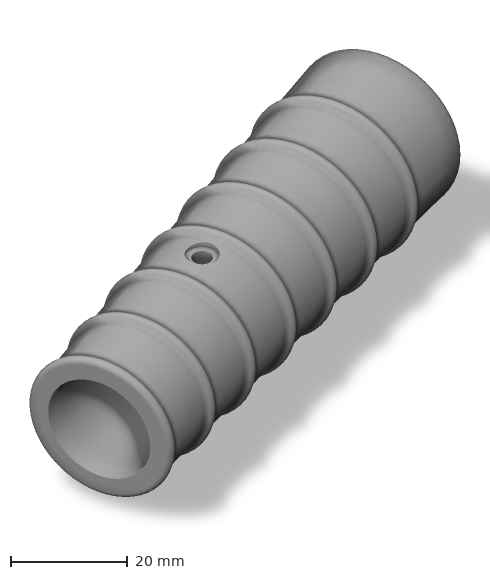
import cadquery as cq
import math

LENGTH = 98.0
BORE_DIAMETER = 20.1
NARROW_RADIUS = 13.1
WIDE_RADIUS = 16.0
WIDE_END_FILLET = 1.5

RIB_COUNT = 7
RIB_PITCH = 13.3
RIB_RADIUS = 1.0
RIB_FILLET = 1.5

HOLE_Y = 35.6
HOLE_DIAMETER = 3.7
HEAD_DIAMETER = 6.0
HEAD_DEPTH = 1.0
CUT_CLEARANCE = 0.5

TAPER_ANGLE = math.atan2(WIDE_RADIUS - NARROW_RADIUS, LENGTH)


def surface_radius(y):
    """Outer radius of the tapered body, without ribs."""
    return NARROW_RADIUS + y * math.tan(TAPER_ANGLE)


def rib_point(rib_y, along, outward):
    """Point placed relative to a rib centre, along and away from the tapered surface."""
    radius = surface_radius(rib_y) + outward * math.cos(TAPER_ANGLE) + along * math.sin(TAPER_ANGLE)
    y = rib_y + along * math.cos(TAPER_ANGLE) - outward * math.sin(TAPER_ANGLE)
    return radius, y


def make_body():
    center_distance = RIB_RADIUS + RIB_FILLET
    foot = math.sqrt(center_distance**2 - RIB_FILLET**2)
    join_along = foot * RIB_RADIUS / center_distance
    join_out = RIB_FILLET * RIB_RADIUS / center_distance
    half_sweep = math.atan2(foot, RIB_FILLET) / 2
    fillet_along = foot - RIB_FILLET * math.sin(half_sweep)
    fillet_out = RIB_FILLET * (1 - math.cos(half_sweep))

    bore_radius = BORE_DIAMETER / 2
    profile = cq.Workplane("XY").moveTo(bore_radius, 0).lineTo(surface_radius(RIB_RADIUS), 0)
    for index in range(RIB_COUNT):
        rib_y = RIB_RADIUS + index * RIB_PITCH
        if index > 0:
            profile = profile.lineTo(*rib_point(rib_y, -foot, 0))
            profile = profile.threePointArc(
                rib_point(rib_y, -fillet_along, fillet_out),
                rib_point(rib_y, -join_along, join_out),
            )
        profile = profile.threePointArc(
            rib_point(rib_y, 0, RIB_RADIUS),
            rib_point(rib_y, join_along, join_out),
        )
        profile = profile.threePointArc(
            rib_point(rib_y, fillet_along, fillet_out),
            rib_point(rib_y, foot, 0),
        )
    profile = profile.lineTo(WIDE_RADIUS, LENGTH).lineTo(bore_radius, LENGTH).close()
    body = profile.revolve(360, (0, 0, 0), (0, 1, 0))
    return body.faces(">Y").edges(cq.selectors.RadiusNthSelector(-1)).fillet(WIDE_END_FILLET)


def cut_screw_hole(body):
    surface = cq.Workplane("XY", origin=(0, HOLE_Y, surface_radius(HOLE_Y)))
    hole = surface.circle(HOLE_DIAMETER / 2).extrude(-surface_radius(HOLE_Y))
    head = surface.circle(HEAD_DIAMETER / 2).extrude(-HEAD_DEPTH)
    clearance = surface.circle(HEAD_DIAMETER / 2).extrude(CUT_CLEARANCE)
    return body.cut(hole).cut(head.union(clearance))


result = cut_screw_hole(make_body())